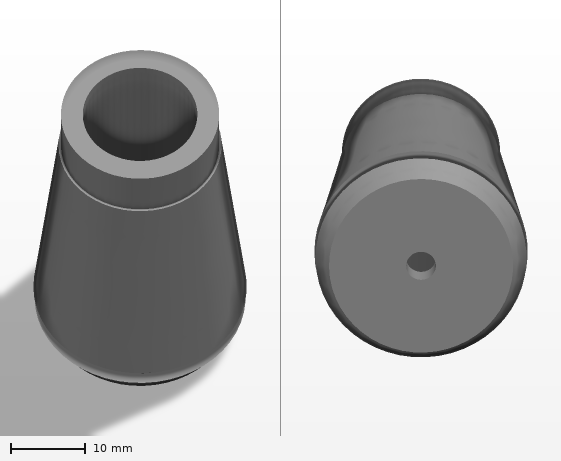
import cadquery as cq
import math

total_height = 45.0
collar_height = 3.2
groove_height = 2.45
neck_length = 6.98
taper_bottom = collar_height + groove_height
taper_top = total_height - neck_length

outer_diameter = 28.5
collar_bottom_radius = 12.3
collar_top_radius = 14.1
groove_radius = 12.5
taper_bottom_radius = outer_diameter / 2
taper_top_radius = 10.9
neck_radius = 10.58

bore_radius = 7.65
outlet_radius = 2.0
shoulder_angle = 60.0
outlet_length = collar_height
shoulder_height = (bore_radius - outlet_radius) / math.tan(math.radians(shoulder_angle))
shoulder_top = outlet_length + shoulder_height


def revolve_profile(points):
    """Turn (radius, height) points into a solid around the Z axis."""
    return cq.Workplane("YZ").polyline(points).close().revolve(360, (0, 0, 0), (0, 1, 0))


body = revolve_profile([
    (0, 0),
    (collar_bottom_radius, 0),
    (collar_top_radius, collar_height),
    (groove_radius, collar_height),
    (groove_radius, taper_bottom),
    (taper_bottom_radius, taper_bottom),
    (taper_top_radius, taper_top),
    (neck_radius, taper_top),
    (neck_radius, total_height),
    (0, total_height),
])

bore = revolve_profile([
    (0, 0),
    (outlet_radius, 0),
    (outlet_radius, outlet_length),
    (bore_radius, shoulder_top),
    (bore_radius, total_height),
    (0, total_height),
])

result = body.cut(bore)